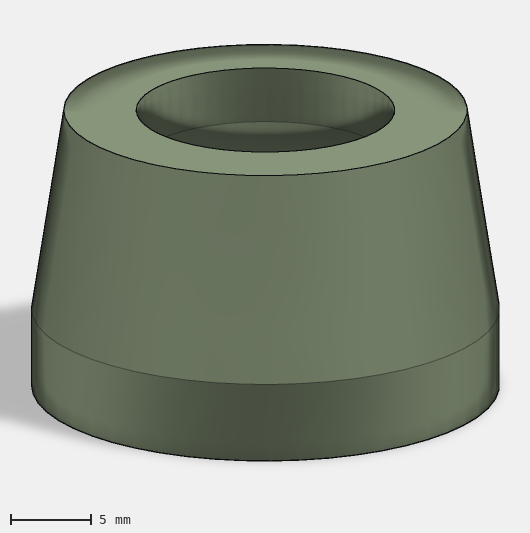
import cadquery as cq

base_diameter = 29.0
top_diameter = 25.0
total_height = 18.0
base_height = 5.02

bore_diameter = 16.0
bore_depth = 3.5

base_radius = base_diameter / 2
top_radius = top_diameter / 2
bore_radius = bore_diameter / 2
sphere_center_height = total_height - bore_depth


def make_body():
    """Revolve the cylinder-and-cone outline about the Z axis."""
    outline = (
        cq.Workplane("XZ")
        .lineTo(base_radius, 0)
        .lineTo(base_radius, base_height)
        .lineTo(top_radius, total_height)
        .lineTo(0, total_height)
        .close()
    )
    return outline.revolve(360, (0, 0, 0), (0, 1, 0))


def make_socket():
    """Cylindrical bore with a ball-shaped bottom of the same radius."""
    bore = (
        cq.Workplane("XY")
        .workplane(offset=sphere_center_height)
        .circle(bore_radius)
        .extrude(bore_depth)
    )
    ball = cq.Workplane("XY").sphere(bore_radius).translate((0, 0, sphere_center_height))
    return bore.union(ball)


result = make_body().cut(make_socket())